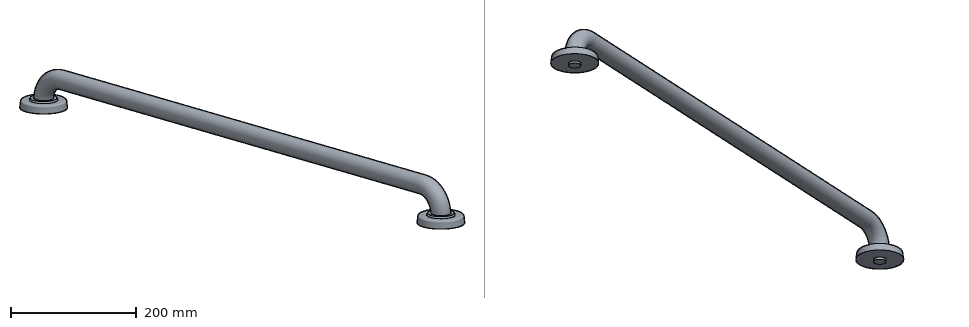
import cadquery as cq
import math

overall_length = 991.0
overall_height = 74.0

tube_diameter = 32.0
bend_radius = 42.0

flange_diameter = 76.0
flange_top_diameter = 73.0
flange_edge_fillet = 3.0

collar_base_diameter = 46.0
collar_top_diameter = 43.0
collar_height = 3.0

pad_diameter = 20.0
pad_height = 4.0

post_x = (overall_length - flange_diameter) / 2
grip_z = overall_height - tube_diameter / 2
bend_start_x = post_x - bend_radius
flange_top_z = grip_z - bend_radius
sides = (-1, 1)


def tapered_disc(x, bottom_z, bottom_diameter, top_diameter, height):
    """Cone frustum on a vertical axis at x."""
    taper = math.degrees(math.atan((bottom_diameter - top_diameter) / 2 / height))
    return (
        cq.Workplane("XY", origin=(x, 0, bottom_z))
        .circle(bottom_diameter / 2)
        .extrude(height, taper=taper)
    )


def make_tube():
    """Grip tube with a quarter bend at each end, standing on the two flanges."""
    bend_middle_x = bend_start_x + bend_radius * math.sin(math.pi / 4)
    bend_middle_z = flange_top_z + bend_radius * math.cos(math.pi / 4)
    centre_line = (
        cq.Workplane("XZ")
        .moveTo(-post_x, flange_top_z)
        .threePointArc((-bend_middle_x, bend_middle_z), (-bend_start_x, grip_z))
        .lineTo(bend_start_x, grip_z)
        .threePointArc((bend_middle_x, bend_middle_z), (post_x, flange_top_z))
    )
    return (
        cq.Workplane("XY", origin=(-post_x, 0, flange_top_z))
        .circle(tube_diameter / 2)
        .sweep(centre_line)
    )


def make_flange(x):
    """Disc between the pad and the end of the tube."""
    disc = tapered_disc(x, pad_height, flange_diameter, flange_top_diameter, flange_top_z - pad_height)
    return disc.faces(">Z").edges().fillet(flange_edge_fillet).solids()


def make_collar(x, tube):
    """Ring on top of the flange that fits closely around the tube, so its bore follows the bend."""
    ring = tapered_disc(x, flange_top_z, collar_base_diameter, collar_top_diameter, collar_height)
    return ring.cut(tube).solids()


def make_pad(x):
    """Round pad that touches the underside of the flange."""
    return cq.Workplane("XY", origin=(x, 0, 0)).circle(pad_diameter / 2).extrude(pad_height)


tube = make_tube()
flanges = [make_flange(side * post_x).val() for side in sides]
collars = [make_collar(side * post_x, tube).val() for side in sides]
pads = [make_pad(side * post_x).val() for side in sides]

result = cq.Compound.makeCompound([tube.val(), *flanges, *collars, *pads])